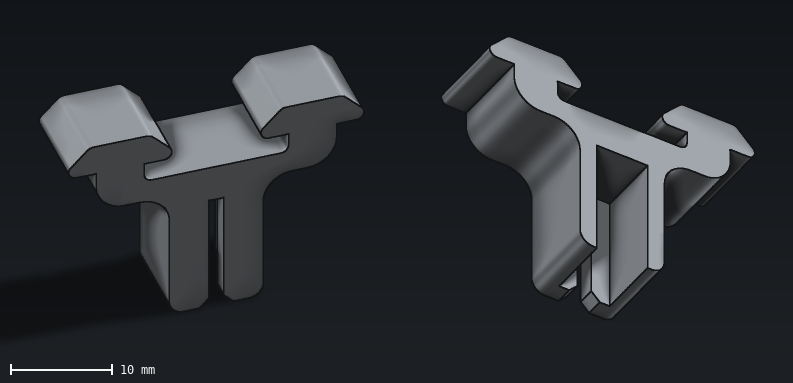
import cadquery as cq
import math

length = 9.0
width = 30.7
height = 22.5

head_spacing = 20.0
head_height = 3.35
head_tip_radius = 0.8
head_top_radius = 1.0
head_width = width - head_spacing

stem_width = 5.0
web_top = height - 5.5
web_bottom = height - 7.98
web_corner_radius = 0.8
bend_radius = 3.0

leg_outer_width = 9.77
slot_width = 5.87
slot_top = height - 9.52
foot_radius = 1.5

rib_gap = 1.57
rib_length = 2.0
rib_chamfer = 0.98

edge_tolerance = 0.003


def block(y_size, z_low, z_high, x_size=length):
    """Block from x = 0 to x_size, centred on Y = 0."""
    return (
        cq.Workplane("XY")
        .box(x_size, y_size, z_high - z_low, centered=(False, True, False))
        .translate((0, 0, z_low))
    )


def round_edges(body, radius, places):
    """Fillet the X-direction edges that pass through the (y, z) places."""
    edges = cq.Workplane("XY").newObject([
        edge
        for edge in body.edges("|X").vals()
        for y, z in places
        if math.hypot(edge.Center().y - y, edge.Center().z - z) < edge_tolerance
    ])
    return body.newObject([body.val().fillet(radius, edges.vals())])


def make_head(y_center):
    """Head with 45 degree flanks and rounded corners."""
    tip_half = head_width / 2 + head_tip_radius * math.sqrt(2)
    top_half = tip_half - head_height
    head_bottom = height - head_height
    profile = [
        (y_center - tip_half, head_bottom),
        (y_center + tip_half, head_bottom),
        (y_center + top_half, height),
        (y_center - top_half, height),
    ]
    head = cq.Workplane("YZ").polyline(profile).close().extrude(length)
    head = round_edges(head, head_tip_radius, profile[:2])
    return round_edges(head, head_top_radius, profile[2:])


def make_frame():
    """Web, stems and legs with their rounded corners, before the heads are added."""
    outer_width = head_spacing + stem_width
    inner_width = head_spacing - stem_width
    stem_top = height - head_height
    frame = block(outer_width, web_bottom, stem_top)
    frame = frame.cut(block(inner_width, web_top, stem_top))
    frame = frame.union(block(leg_outer_width, 0, web_top)).clean()
    frame = frame.cut(block(slot_width, 0, slot_top))

    sides = (-1, 1)
    bends = [
        (side * y_size / 2, web_bottom)
        for side in sides
        for y_size in (outer_width, leg_outer_width)
    ]
    frame = round_edges(frame, bend_radius, bends)
    frame = round_edges(frame, web_corner_radius, [(side * inner_width / 2, web_top) for side in sides])
    return round_edges(frame, foot_radius, [(side * leg_outer_width / 2, 0) for side in sides])


def make_ribs():
    """Ribs on both slot walls, with a chamfered lead-in at the foot."""
    ribs = block(slot_width, 0, slot_top, x_size=rib_length)
    ribs = ribs.cut(block(rib_gap, 0, slot_top, x_size=rib_length))
    lead_in = (
        cq.Workplane("YZ")
        .polyline([
            (-rib_gap / 2 - rib_chamfer, 0),
            (rib_gap / 2 + rib_chamfer, 0),
            (rib_gap / 2, rib_chamfer),
            (-rib_gap / 2, rib_chamfer),
        ])
        .close()
        .extrude(rib_length)
    )
    return ribs.cut(lead_in).translate((length - rib_length, 0, 0))


result = make_frame().union(make_ribs())
for side in (-1, 1):
    result = result.union(make_head(side * head_spacing / 2))
result = result.clean()